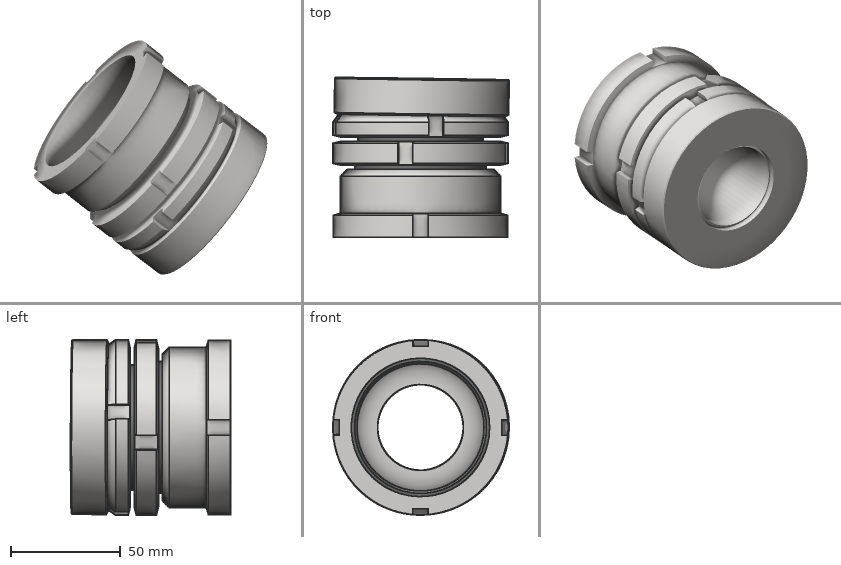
import cadquery as cq
import math


RIM_R = 40.0
FACE_R = 35.95
EDGE_LENGTH = 1.0
SLOT_WIDTH = 6.9
SLOT_FLOOR_R = 37.0
SLOT_COUNT = 4
SLOT_OVERCUT = 0.8

THREAD_R = 30.1
CORE_R = 28.95
UNDERCUT_R = 28.55

FLANGE_LENGTH = 11.0
DRUM_R = 36.6
DRUM_END_Y = 31.1
DRUM_CHAMFER = 3.3
BASE_BORE_R = 31.5
BASE_BORE_DEPTH = 15.9
THREAD_CHAMFER = THREAD_R - CORE_R

NUT_FRONT_Y = 32.8
NUT_LENGTH = 11.1
NUT_BACK_Y = NUT_FRONT_Y + NUT_LENGTH
NUT_TURN = -10.0

HEAD_FRONT_Y = 45.7
HEAD_TURN = 10.5
SCREW_BORE_R = 19.5
SCREW_FRONT_Y = BASE_BORE_DEPTH + THREAD_CHAMFER

SEAT_R = 47.6
SEAT_CENTRE_Y = 26.5

WASHER_R = 39.8
WASHER_BORE_R = 20.9
WASHER_FRONT_Y = 55.65
WASHER_BACK_Y = 72.4
WASHER_FRONT_EDGE_LENGTH = 0.8
WASHER_FRONT_EDGE_DEPTH = 1.6
WASHER_BACK_CHAMFER = 0.5
WASHER_TILT_X = 0.2
WASHER_TILT_Z = -0.8


def seat_y(radius):
    """Axial position of the spherical seat at a given radius."""
    return SEAT_CENTRE_Y + math.sqrt(SEAT_R**2 - radius**2)


def turned(points):
    """Revolve a closed (radius, Y) outline about the Y axis."""
    return cq.Workplane("XY").polyline(points).close().revolve(360, (0, 0, 0), (0, 1, 0))


def cut_spanner_slots(body, front_y, back_y, turn):
    """Cut evenly spaced rectangular slots into the rim between two Y positions."""
    slot_height = RIM_R - SLOT_FLOOR_R + SLOT_OVERCUT
    slot = cq.Workplane("XY").box(SLOT_WIDTH, back_y - front_y, slot_height, centered=(True, False, False))
    slot = slot.translate((0, front_y, SLOT_FLOOR_R))
    for index in range(SLOT_COUNT):
        angle = turn + index * 360 / SLOT_COUNT
        body = body.cut(slot.rotate((0, 0, 0), (0, 1, 0), angle))
    return body.solids()


def make_base():
    """Slotted flange with a drum, a plain front bore and a threaded bore."""
    body = turned([
        (BASE_BORE_R, 0),
        (RIM_R, 0),
        (RIM_R, FLANGE_LENGTH - EDGE_LENGTH),
        (DRUM_R, FLANGE_LENGTH),
        (DRUM_R, DRUM_END_Y - DRUM_CHAMFER),
        (DRUM_R - DRUM_CHAMFER, DRUM_END_Y),
        (CORE_R, DRUM_END_Y),
        (CORE_R, SCREW_FRONT_Y),
        (THREAD_R, BASE_BORE_DEPTH),
        (BASE_BORE_R, BASE_BORE_DEPTH),
    ])
    return cut_spanner_slots(body, 0, FLANGE_LENGTH, 0)


def make_lock_nut():
    """Slotted ring on the screw thread, chamfered at both ends."""
    body = turned([
        (THREAD_R, NUT_FRONT_Y),
        (FACE_R, NUT_FRONT_Y),
        (RIM_R, NUT_FRONT_Y + EDGE_LENGTH),
        (RIM_R, NUT_BACK_Y - EDGE_LENGTH),
        (FACE_R, NUT_BACK_Y),
        (THREAD_R, NUT_BACK_Y),
    ])
    return cut_spanner_slots(body, NUT_FRONT_Y, NUT_BACK_Y, NUT_TURN)


def make_screw():
    """Hollow screw whose slotted head ends in a convex spherical seat."""
    seat_mid_r = (RIM_R + SCREW_BORE_R) / 2
    body = (
        cq.Workplane("XY")
        .moveTo(SCREW_BORE_R, SCREW_FRONT_Y)
        .lineTo(CORE_R, SCREW_FRONT_Y)
        .lineTo(CORE_R, DRUM_END_Y)
        .lineTo(THREAD_R, DRUM_END_Y)
        .lineTo(THREAD_R, NUT_BACK_Y)
        .lineTo(UNDERCUT_R, NUT_BACK_Y)
        .lineTo(UNDERCUT_R, HEAD_FRONT_Y)
        .lineTo(FACE_R, HEAD_FRONT_Y)
        .lineTo(RIM_R, HEAD_FRONT_Y + EDGE_LENGTH)
        .lineTo(RIM_R, seat_y(RIM_R))
        .threePointArc((seat_mid_r, seat_y(seat_mid_r)), (SCREW_BORE_R, seat_y(SCREW_BORE_R)))
        .close()
        .revolve(360, (0, 0, 0), (0, 1, 0))
    )
    return cut_spanner_slots(body, HEAD_FRONT_Y, seat_y(SLOT_FLOOR_R), HEAD_TURN)


def make_washer():
    """Ring with a concave spherical seat, tilted about the centre of the seat."""
    ring = turned([
        (WASHER_BORE_R, WASHER_FRONT_Y),
        (WASHER_R - WASHER_FRONT_EDGE_DEPTH, WASHER_FRONT_Y),
        (WASHER_R, WASHER_FRONT_Y + WASHER_FRONT_EDGE_LENGTH),
        (WASHER_R, WASHER_BACK_Y - WASHER_BACK_CHAMFER),
        (WASHER_R - WASHER_BACK_CHAMFER, WASHER_BACK_Y),
        (WASHER_BORE_R, WASHER_BACK_Y),
    ])
    seat_centre = (0, SEAT_CENTRE_Y, 0)
    ring = ring.cut(cq.Workplane("XY").sphere(SEAT_R).translate(seat_centre))
    ring = ring.rotate(seat_centre, (1, SEAT_CENTRE_Y, 0), WASHER_TILT_X)
    ring = ring.rotate(seat_centre, (0, SEAT_CENTRE_Y, 1), WASHER_TILT_Z)
    return ring.solids()


base = make_base()
lock_nut = make_lock_nut()
screw = make_screw()
washer = make_washer()

result = cq.Compound.makeCompound([base.val(), lock_nut.val(), screw.val(), washer.val()])